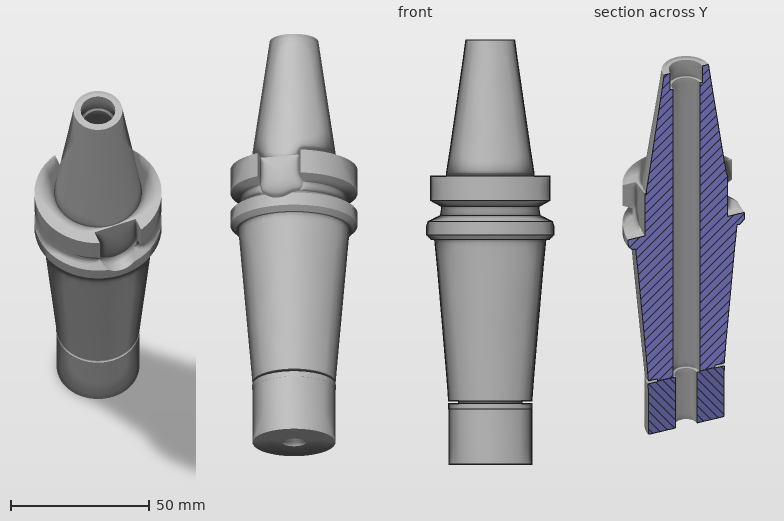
import cadquery as cq


taper_length = 48.4
gauge_radius = 31.75 / 2
taper_ratio = 7 / 24
taper_tip_radius = gauge_radius - taper_length * taper_ratio / 2

flange_radius = 23.0
flange_top = -0.8
upper_rim_bottom = -9.6
groove_top = -11.8
groove_bottom = -15.1
lower_rim_top = -17.3
lower_rim_bottom = -22.0
flange_chamfer = 1.8
flange_bottom = lower_rim_bottom - flange_chamfer
groove_radius = 19.3

slot_width = 16.1
slot_floor_x = 16.3
slot_bottom = -19.0

nose_top_radius = 20.1
nose_bottom_radius = 15.05
nose_bottom = -82.0
neck_radius = 11.4
neck_length = 1.0
neck_bottom = nose_bottom - neck_length

nut_radius = 15.0
nut_top = neck_bottom
nut_end = -105.0
nut_length = nut_top - nut_end
collar_radius = 15.1
collar_length = 2.0

counterbore_radius = 6.25
counterbore_depth = 7.0
counterbore_floor = taper_length - counterbore_depth
holder_bore_radius = 5.25
nut_bore_radius = 4.2


def make_turned_holder():
    """Body of revolution: taper, grooved flange, conical nose and neck, bored through."""
    return (
        cq.Workplane("YZ")
        .moveTo(holder_bore_radius, neck_bottom)
        .lineTo(neck_radius, neck_bottom)
        .lineTo(neck_radius, nose_bottom)
        .lineTo(nose_bottom_radius, nose_bottom)
        .lineTo(nose_top_radius, flange_bottom)
        .lineTo(flange_radius - flange_chamfer, flange_bottom)
        .lineTo(flange_radius, lower_rim_bottom)
        .lineTo(flange_radius, lower_rim_top)
        .lineTo(groove_radius, groove_bottom)
        .lineTo(groove_radius, groove_top)
        .lineTo(flange_radius, upper_rim_bottom)
        .lineTo(flange_radius, flange_top)
        .lineTo(gauge_radius, flange_top)
        .lineTo(gauge_radius, 0)
        .lineTo(taper_tip_radius, taper_length)
        .lineTo(counterbore_radius, taper_length)
        .lineTo(counterbore_radius, counterbore_floor)
        .lineTo(holder_bore_radius, counterbore_floor)
        .close()
        .revolve(360, (0, 0, 0), (0, 1, 0))
    )


def make_drive_slot(side):
    """Round-bottomed slot cutter, open at the flange top; side is -1 for -X or 1 for +X."""
    half_width = slot_width / 2
    arc_centre_z = slot_bottom + half_width
    return (
        cq.Workplane("YZ", origin=(side * slot_floor_x, 0, 0))
        .moveTo(-half_width, flange_top)
        .lineTo(-half_width, arc_centre_z)
        .threePointArc((0, slot_bottom), (half_width, arc_centre_z))
        .lineTo(half_width, flange_top)
        .close()
        .extrude(side * flange_radius)
    )


def make_holder():
    """Turned holder with a drive slot cut on each side of the flange."""
    body = make_turned_holder()
    for side in (-1, 1):
        body = body.cut(make_drive_slot(side))
    return body


def make_nut():
    """Cylindrical nut seated under the neck, with a through hole."""
    end_plane = cq.Workplane("XY", origin=(0, 0, nut_end))
    collar_plane = cq.Workplane("XY", origin=(0, 0, nut_top - collar_length))
    barrel = end_plane.circle(nut_radius).extrude(nut_length)
    collar = collar_plane.circle(collar_radius).extrude(collar_length)
    bore = end_plane.circle(nut_bore_radius).extrude(nut_length)
    return barrel.union(collar).cut(bore)


holder = make_holder().solids()
nut = make_nut().solids()

result = cq.Compound.makeCompound([holder.val(), nut.val()])